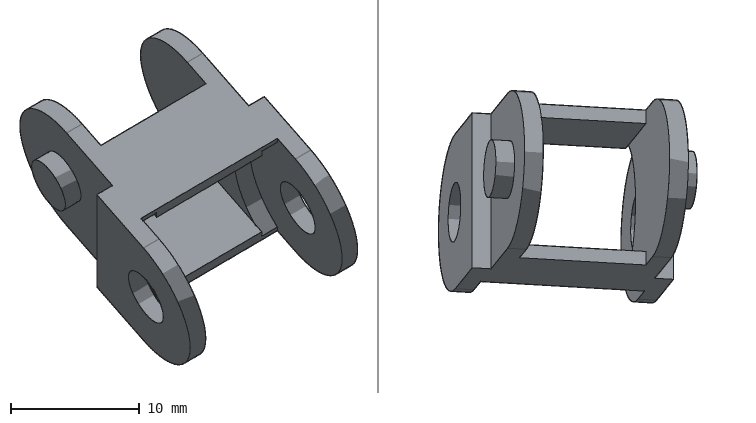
import cadquery as cq

length = 24.85
width = 16.0
height = 12.5

plate_thickness = 1.5
end_radius = height / 2
wide_outer_y = width / 2
narrow_outer_y = wide_outer_y - plate_thickness
narrow_inner_y = narrow_outer_y - plate_thickness
step_x = -0.05

web_length = 7.45
web_center_x = 0.05
web_start_x = web_center_x - web_length / 2
web_end_x = web_center_x + web_length / 2
web_thickness = 1.1

pitch = 13.0
pin_diameter = 4.5
hole_diameter = 4.65
clearance_radius = 6.35


def block(x_start, x_end, y_start, y_end, z_start, z_end):
    """Box given by its limits along each axis."""
    size = (x_end - x_start, y_end - y_start, z_end - z_start)
    corner = (x_start, y_start, z_start)
    return cq.Workplane("XY").box(*size, centered=False).translate(corner)


def cylinder_along_y(x, diameter, y_start, y_end):
    """Round bar parallel to Y at mid height."""
    plane = cq.Workplane("XZ", origin=(x, y_start, 0))
    return plane.circle(diameter / 2).extrude(y_start - y_end)


def rounded_plate(x_flat, x_tip, y_start, y_end):
    """Plate with a flat edge at x_flat and a full half-round end at x_tip."""
    direction = 1 if x_tip > x_flat else -1
    x_tangent = x_tip - direction * end_radius
    return (
        cq.Workplane("XZ", origin=(0, y_start, 0))
        .moveTo(x_flat, -end_radius)
        .lineTo(x_tangent, -end_radius)
        .threePointArc((x_tip, 0), (x_tangent, end_radius))
        .lineTo(x_flat, end_radius)
        .close()
        .extrude(y_start - y_end)
    )


def web(z_start):
    """Cross web reaching out to the wide plates, with its lower face at z_start."""
    return block(
        web_start_x, web_end_x,
        -narrow_outer_y, narrow_outer_y,
        z_start, z_start + web_thickness,
    )


def side(sign):
    """Pin plate, hole plate and pin on the +Y (sign 1) or -Y (sign -1) side."""
    inner = sign * narrow_inner_y
    middle = sign * narrow_outer_y
    outer = sign * wide_outer_y
    pin_plate = rounded_plate(web_end_x, -length / 2, inner, middle)
    hole_plate = rounded_plate(step_x, length / 2, middle, outer)
    hole = cylinder_along_y(pitch / 2, hole_diameter, middle, outer)
    pin = cylinder_along_y(-pitch / 2, pin_diameter, middle, outer)
    return pin_plate.union(hole_plate.cut(hole)).union(pin)


def clearance(sign):
    """Room for the next link to swing, in line with the narrow plate on one side."""
    inner = sign * narrow_inner_y
    middle = sign * narrow_outer_y
    return cylinder_along_y(pitch / 2, 2 * clearance_radius, inner, middle)


bottom_web = web(-height / 2)
top_web = web(height / 2 - web_thickness)
link = side(1).union(side(-1)).union(bottom_web).union(top_web)

result = link.cut(clearance(1)).cut(clearance(-1))